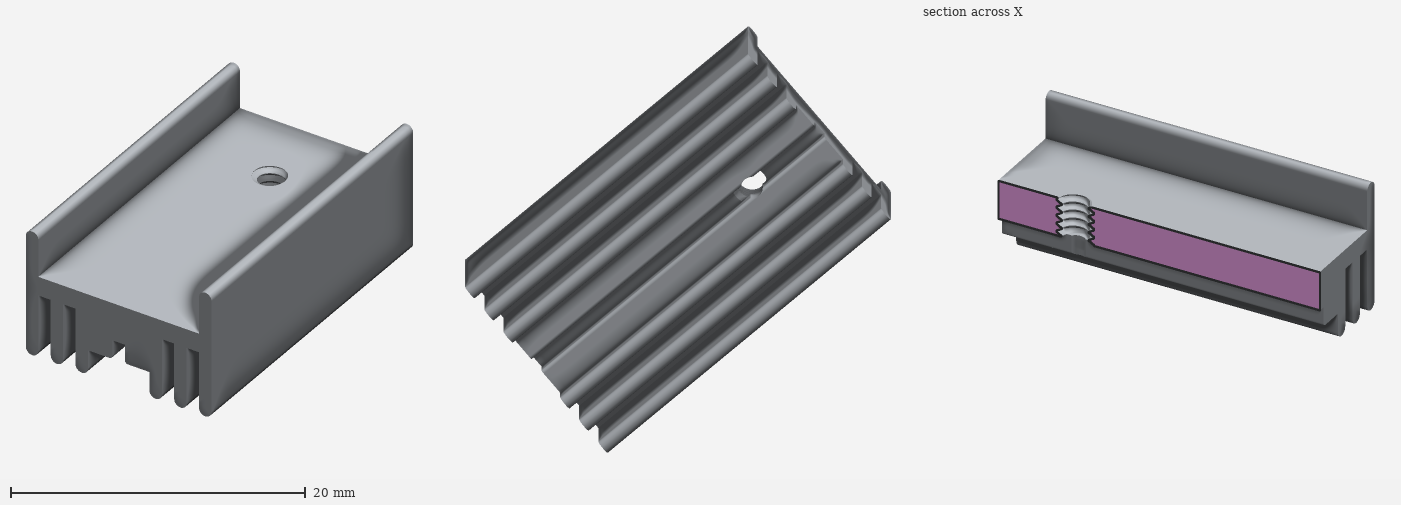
import cadquery as cq
import math

length = 25.1
width = 15.0
height = 10.0

fin_thickness = 1.0
fin_pitch = 2.0
fins_per_side = 3
plate_bottom = 5.0
plate_thickness = 1.5
plate_top = plate_bottom + plate_thickness
block_bottom = 1.98
notch_width = 1.0
notch_top = 3.5
notch_edge_radius = 0.25

hole_from_rear = 6.0
thread_minor_diameter = 2.05
thread_major_diameter = 2.85
thread_pitch = 0.63
thread_root_flat = 0.1
thread_flank_angle = 30.0
thread_overlap = 0.03
pilot_diameter = 1.48
seam_angle = 37.0

tip_radius = fin_thickness / 2
outer_fin_x = (width - fin_thickness) / 2
inner_fin_x = outer_fin_x - (fins_per_side - 1) * fin_pitch


def bar(bar_width, bottom, top, center_x=0):
    """Full-length rectangular bar between two heights."""
    return (
        cq.Workplane("XY", origin=(center_x, 0, bottom))
        .rect(bar_width, length)
        .extrude(top - bottom)
    )


def round_tip(center_x, center_z):
    """Full-length rod that rounds off the edge of a fin."""
    return (
        cq.Workplane("XZ", origin=(center_x, length / 2, center_z))
        .circle(tip_radius)
        .extrude(length)
    )


def inner_fin(center_x):
    """Fin hanging from the plate to Z = 0, rounded at its foot."""
    body = bar(fin_thickness, tip_radius, plate_top, center_x)
    return body.union(round_tip(center_x, tip_radius))


def side_wall(center_x):
    """Full-height outer fin, rounded at its foot and its top."""
    wall_top = height - tip_radius
    body = bar(fin_thickness, tip_radius, wall_top, center_x)
    for tip_z in (tip_radius, wall_top):
        body = body.union(round_tip(center_x, tip_z))
    return body


def central_block():
    """Solid under the plate, between the inner fins, notched along its middle."""
    block = bar(2 * inner_fin_x, block_bottom, plate_bottom)
    block = block.cut(bar(notch_width, block_bottom, notch_top))
    notch_edges = cq.selectors.BoxSelector(
        (-notch_width, -length, 0),
        (notch_width, length, notch_top - notch_edge_radius),
    )
    return block.edges("|Y").edges(notch_edges).fillet(notch_edge_radius)


def cylinder(diameter, bottom, top):
    """Vertical cylinder on the Z axis, its seam turned clear of the ends of the thread groove."""
    return (
        cq.Workplane("XY", origin=(0, 0, bottom))
        .circle(diameter / 2)
        .extrude(top - bottom)
        .rotate((0, 0, 0), (0, 0, 1), seam_angle)
    )


def thread_groove():
    """Right-hand 60 degree groove on the Z axis, open at the plate top on the -X side."""
    turns = math.ceil((plate_top - notch_top) / thread_pitch)
    start_z = plate_top - turns * thread_pitch
    inner_radius = thread_minor_diameter / 2 - thread_overlap
    outer_radius = thread_major_diameter / 2
    root_half = thread_root_flat / 2
    flank_slope = math.tan(math.radians(thread_flank_angle))
    mouth_half = root_half + (outer_radius - inner_radius) * flank_slope
    profile = [
        (inner_radius, start_z - mouth_half),
        (outer_radius, start_z - root_half),
        (outer_radius, start_z + root_half),
        (inner_radius, start_z + mouth_half),
    ]
    helix = cq.Wire.makeHelix(
        thread_pitch, (turns + 1) * thread_pitch, inner_radius, cq.Vector(0, 0, start_z)
    )
    groove = cq.Workplane("XZ").polyline(profile).close().sweep(cq.Workplane(helix), isFrenet=True)
    groove = groove.rotate((0, 0, 0), (0, 0, 1), 180)
    return groove.intersect(cylinder(2 * thread_major_diameter, notch_top, plate_top))


def cut_screw_hole(body):
    """Cut the pilot, the threaded bore and its groove through the plate and block."""
    center = (0, length / 2 - hole_from_rear, 0)
    pilot = cylinder(pilot_diameter, 0, plate_top)
    bore = cylinder(thread_minor_diameter, notch_top, plate_top)
    for tool in (pilot, bore, thread_groove()):
        body = body.cut(tool.translate(center))
    return body


heatsink = bar(width - fin_thickness, plate_bottom, plate_top).union(central_block())
for side in (-1, 1):
    heatsink = heatsink.union(side_wall(side * outer_fin_x))
    for index in range(1, fins_per_side):
        fin_x = side * (outer_fin_x - index * fin_pitch)
        heatsink = heatsink.union(inner_fin(fin_x))

result = cut_screw_hole(heatsink)